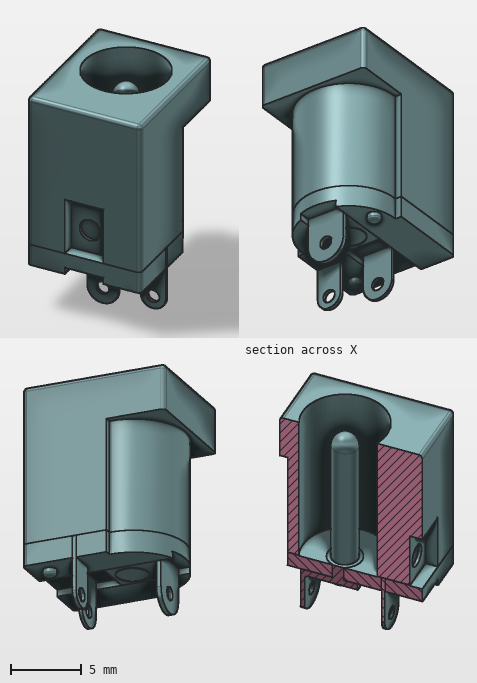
import cadquery as cq


width = 9.0
half_width = width / 2
total_length = 11.0
back_y = half_width
front_y = back_y - total_length
overall_height = 17.2
leg_drop = 3.5
body_height = overall_height - leg_drop
edge_radius = 0.31
head_height = 3.5
base_height = 1.69

barrel_radius = 3.99
barrel_y = 0.1

bore_radius = 3.25
pin_radius = 1.0
pin_tip_drop = 1.0
collar_radius = 1.3
rivet_radius = 1.2
rivet_drop = 0.05

window_width = 3.05
window_height = 4.42
window_depth = 0.96
dimple_radius = 0.85
dimple_z = 3.5
dimple_depth = 0.25

notch_height = 0.52

leg_hole_radius = 0.5
pin_leg_width = window_width
pin_leg_thickness = 0.35
pin_leg_y = 2.72
pin_leg_bend = 0.22
spring_leg_width = 2.48
spring_leg_thickness = 0.24
spring_leg_y = -3.5
side_leg_width = 2.0
side_leg_thickness = 0.3
side_leg_x = half_width - side_leg_width / 2
side_leg_y = -2.5

peg_height = 0.5
peg_edge = 0.2
pegs = [(3.11, -5.0, 0.5), (-3.05, 1.25, 0.52)]


def y_block(x_size, y_min, y_max, z_min, z_max):
    """Box centred on X = 0."""
    size_y = y_max - y_min
    box = cq.Workplane("XY").box(x_size, size_y, z_max - z_min, centered=(True, False, False))
    return box.translate((0, y_min, z_min))


def upright(radius, z_min, z_max):
    """Cylinder on the socket axis."""
    return cq.Workplane("XY").workplane(offset=z_min).circle(radius).extrude(z_max - z_min)


def lower_section(z_min, z_max):
    """Square front with rounded front corners, and a narrower round back."""
    front = y_block(width, front_y, 0, z_min, z_max).edges("|Z and <Y").fillet(edge_radius)
    link = y_block(2 * barrel_radius, 0, barrel_y, z_min, z_max)
    barrel = upright(barrel_radius, z_min, z_max).translate((0, barrel_y, 0))
    return front.union(link).union(barrel)


def leg(leg_width, thickness, x, y, z_top):
    """Flat upright leg with a round end and a hole at the centre of the rounding."""
    radius = leg_width / 2
    hole_z = radius - leg_drop
    profile = (
        cq.Workplane("XZ")
        .moveTo(-radius, z_top)
        .lineTo(-radius, hole_z)
        .threePointArc((0, -leg_drop), (radius, hole_z))
        .lineTo(radius, z_top)
        .close()
        .extrude(thickness / 2, both=True)
    )
    hole = cq.Workplane("XZ").center(0, hole_z).circle(leg_hole_radius).extrude(thickness, both=True)
    return profile.cut(hole).translate((x, y, 0))


def make_spring_terminal():
    """Centre terminal, held in a slot through the base."""
    return leg(spring_leg_width, spring_leg_thickness, 0, spring_leg_y, base_height)


def make_side_terminal():
    """Terminal flush with the +X side, held in a slot through the base."""
    return leg(side_leg_width, side_leg_thickness, side_leg_x, side_leg_y, base_height)


def make_pin_contact():
    """Domed pin, riveted root, and the strap that bends down into a leg."""
    dome_z = body_height - pin_tip_drop - pin_radius
    pin = upright(pin_radius, 0, dome_z)
    dome = cq.Workplane("XY").sphere(pin_radius).translate((0, 0, dome_z))
    collar = upright(collar_radius, 0, base_height)
    rivet = upright(rivet_radius, -rivet_drop, 0)

    leg_inner_y = pin_leg_y - pin_leg_thickness / 2
    leg_outer_y = pin_leg_y + pin_leg_thickness / 2
    strap = y_block(pin_leg_width, -pin_leg_width / 2, leg_outer_y, 0, notch_height)
    lug = leg(pin_leg_width, pin_leg_thickness, 0, pin_leg_y, notch_height)
    bend = (
        cq.Workplane("YZ")
        .moveTo(leg_inner_y, 0)
        .lineTo(leg_inner_y - pin_leg_bend, 0)
        .radiusArc((leg_inner_y, -pin_leg_bend), pin_leg_bend)
        .close()
        .extrude(pin_leg_width / 2, both=True)
    )
    return pin.union(dome).union(collar).union(rivet).union(strap).union(lug).union(bend)


def make_housing():
    """Upper shell with the socket bore and a dimpled window pocket at the bottom of its front."""
    step_z = body_height - head_height
    head = y_block(width, front_y, back_y, step_z, body_height)
    head = head.edges("|Z").fillet(edge_radius).faces(">Z").edges().fillet(edge_radius)
    bore = upright(bore_radius, base_height, body_height)
    window_back = front_y + window_depth
    window = y_block(window_width, front_y, window_back, base_height, base_height + window_height)
    dimple = (
        cq.Workplane("XZ", origin=(0, window_back, dimple_z))
        .circle(dimple_radius)
        .extrude(-dimple_depth)
    )
    return head.union(lower_section(base_height, step_z)).cut(bore).cut(window).cut(dimple)


def make_peg(x, y, radius):
    """Locating peg with a rounded tip, hanging below the base."""
    peg = cq.Workplane("XY").circle(radius).extrude(-peg_height)
    return peg.faces("<Z").edges().fillet(peg_edge).translate((x, y, 0))


def make_base(inserts):
    """Bottom piece with a lengthwise notch, pegs, and a fitting seat for each insert."""
    base = lower_section(0, base_height)
    base = base.cut(y_block(window_width, front_y, back_y, 0, notch_height))
    for x, y, radius in pegs:
        base = base.union(make_peg(x, y, radius))
    for insert in inserts:
        base = base.cut(insert)
    return base


pin_contact = make_pin_contact()
spring_terminal = make_spring_terminal()
side_terminal = make_side_terminal()
housing = make_housing()
base = make_base([pin_contact, spring_terminal, side_terminal])

result = cq.Compound.makeCompound([
    housing.solids().val(),
    base.solids().val(),
    pin_contact.solids().val(),
    spring_terminal.solids().val(),
    side_terminal.solids().val(),
])